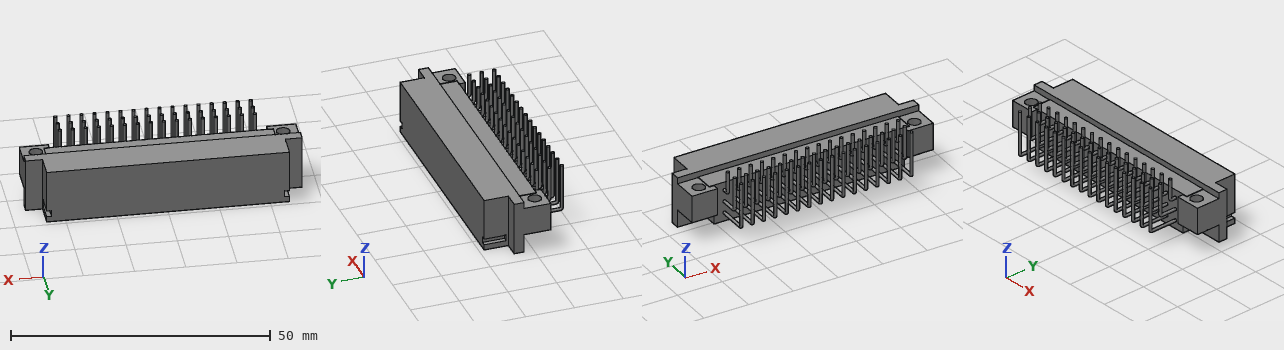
import cadquery as cq


FLANGE_LENGTH = 54.0
BODY_HEIGHT = 11.1
SHROUD_LENGTH = 47.4
SHROUD_DEPTH = 4.95
FLANGE_BACK = 7.0

SLOT_BOTTOM = 1.2
SLOT_TOP = 2.45
SLOT_DEPTH = 4.5
SLOT_INSET = 0.95

BLOCK_BACK = 11.2
BLOCK_LENGTH = 42.6
BLOCK_BOTTOM = 1.15
BLOCK_TOP = 9.9
WIDE_BLOCK_LENGTH = 44.8
WIDE_BLOCK_BOTTOM = 3.8

GUSSET_BOTTOM = 1.3
GUSSET_BACK = 8.46

EAR_BOTTOM = 3.86
EAR_TOP = 9.78
EAR_BACK = 12.5
EAR_HOLE_DIAMETER = 2.6
EAR_HOLE_X = 24.13
EAR_HOLE_Y = -10.2

PIN_PITCH = 2.54
PINS_PER_ROW = 16
PIN_CENTRE_X = 0.05
PIN_ROWS = 3
PIN_DIAMETER = 0.65
PIN_BEND_RADIUS = 0.36
PIN_TOP = 12.83
PIN_OUTER_REACH = 17.93
PIN_LOWEST_Z = 3.05
PIN_EMBED = 1.0


def box_between(x_min, x_max, y_min, y_max, z_min, z_max):
    """Axis-aligned box given by its limits."""
    size = (x_max - x_min, y_max - y_min, z_max - z_min)
    return cq.Workplane("XY").box(*size, centered=False).translate((x_min, y_min, z_min))


def centred_box(length, y_min, y_max, z_min, z_max):
    """Box of the given length, symmetric about X = 0."""
    return box_between(-length / 2, length / 2, y_min, y_max, z_min, z_max)


def with_mirror(shape):
    """The shape together with its copy at the other end of the part."""
    return shape.union(shape.mirror("YZ"))


def make_shroud_and_flange():
    shroud = centred_box(SHROUD_LENGTH, -SHROUD_DEPTH, 0, 0, BODY_HEIGHT)
    flange = centred_box(FLANGE_LENGTH, -FLANGE_BACK, -SHROUD_DEPTH, 0, BODY_HEIGHT)
    shroud_end = -SHROUD_LENGTH / 2
    slot = box_between(shroud_end, shroud_end + SLOT_INSET, -SLOT_DEPTH, 0, SLOT_BOTTOM, SLOT_TOP)
    return shroud.union(flange).cut(with_mirror(slot))


def make_rear_block():
    narrow = centred_box(BLOCK_LENGTH, -BLOCK_BACK, -FLANGE_BACK, BLOCK_BOTTOM, BLOCK_TOP)
    wide = centred_box(WIDE_BLOCK_LENGTH, -BLOCK_BACK, -FLANGE_BACK, WIDE_BLOCK_BOTTOM, BLOCK_TOP)
    return narrow.union(wide)


def make_gussets():
    block_end = -BLOCK_LENGTH / 2
    gusset = (
        cq.Workplane("XY", origin=(0, 0, GUSSET_BOTTOM))
        .moveTo(-SHROUD_LENGTH / 2, -FLANGE_BACK)
        .lineTo(block_end, -GUSSET_BACK)
        .lineTo(block_end, -FLANGE_BACK)
        .close()
        .extrude(EAR_BOTTOM - GUSSET_BOTTOM)
    )
    return with_mirror(gusset)


def make_ears():
    ear = box_between(
        -FLANGE_LENGTH / 2, -BLOCK_LENGTH / 2, -EAR_BACK, -FLANGE_BACK, EAR_BOTTOM, EAR_TOP
    )
    return with_mirror(ear)


def make_ear_holes():
    return (
        cq.Workplane("XY")
        .pushPoints([(-EAR_HOLE_X, EAR_HOLE_Y), (EAR_HOLE_X, EAR_HOLE_Y)])
        .circle(EAR_HOLE_DIAMETER / 2)
        .extrude(BODY_HEIGHT)
    )


def make_pin(tail_y, leg_z):
    """Round pin leaving the block along -Y at leg_z and turning up at tail_y."""
    start_y = -BLOCK_BACK + PIN_EMBED
    section = cq.Workplane("XZ", origin=(0, start_y, leg_z)).circle(PIN_DIAMETER / 2)
    path = (
        cq.Workplane("YZ")
        .moveTo(start_y, leg_z)
        .lineTo(tail_y + PIN_BEND_RADIUS, leg_z)
        .tangentArcPoint((tail_y, leg_z + PIN_BEND_RADIUS), relative=False)
        .lineTo(tail_y, PIN_TOP)
    )
    return section.sweep(path)


body = make_shroud_and_flange().union(make_rear_block())
body = body.union(make_gussets()).union(make_ears()).cut(make_ear_holes())

pins = []
for row in range(PIN_ROWS):
    tail_y = -PIN_OUTER_REACH + PIN_DIAMETER / 2 + row * PIN_PITCH
    pin = make_pin(tail_y, PIN_LOWEST_Z + row * PIN_PITCH).val()
    for column in range(PINS_PER_ROW):
        pin_x = PIN_CENTRE_X + (column - (PINS_PER_ROW - 1) / 2) * PIN_PITCH
        pins.append(pin.translate(cq.Vector(pin_x, 0, 0)))

result = cq.Workplane("XY").newObject([body.val().fuse(*pins)])